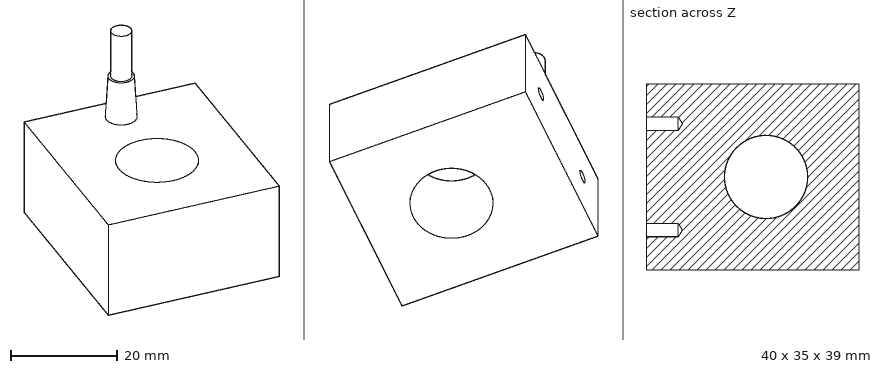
import cadquery as cq
import math

length = 40.0
width = 35.0
height = 20.0

bore_diameter = 15.6
bore_x = 22.5

mount_hole_diameter = 2.46
mount_hole_spacing = 20.0
mount_hole_z = height / 2
mount_hole_depth = 6.0
drill_point_angle = 118.0

cable_x = 5.5
cable_diameter = 4.0
cable_top_z = 39.0
sleeve_bottom_diameter = 6.0
sleeve_top_diameter = 5.0
sleeve_height = 9.0


def make_mount_hole(y):
    """Drilled hole running in +X from the x = 0 face, ending in a drill point."""
    radius = mount_hole_diameter / 2
    drill_point_length = radius / math.tan(math.radians(drill_point_angle / 2))
    return (
        cq.Workplane("XY", origin=(0, y, mount_hole_z))
        .lineTo(0, radius)
        .lineTo(mount_hole_depth, radius)
        .lineTo(mount_hole_depth + drill_point_length, 0)
        .close()
        .revolve(360, (0, 0, 0), (1, 0, 0))
    )


def make_housing():
    """Rectangular block with the through bore and the two mounting holes."""
    block = cq.Workplane("XY").box(length, width, height, centered=(False, True, False))
    bore = cq.Workplane("XY").center(bore_x, 0).circle(bore_diameter / 2).extrude(height)
    block = block.cut(bore)
    for y in (-mount_hole_spacing / 2, mount_hole_spacing / 2):
        block = block.cut(make_mount_hole(y))
    return block


def make_cable():
    """Tapered sleeve standing on the housing, with the round cable leaving its top."""
    sleeve_top_z = height + sleeve_height
    return (
        cq.Workplane("XZ", origin=(cable_x, 0, 0))
        .moveTo(0, height)
        .lineTo(sleeve_bottom_diameter / 2, height)
        .lineTo(sleeve_top_diameter / 2, sleeve_top_z)
        .lineTo(cable_diameter / 2, sleeve_top_z)
        .lineTo(cable_diameter / 2, cable_top_z)
        .lineTo(0, cable_top_z)
        .close()
        .revolve(360, (0, 0, 0), (0, 1, 0))
    )


housing = make_housing()
cable = make_cable()
result = cq.Compound.makeCompound([housing.val(), cable.val()])